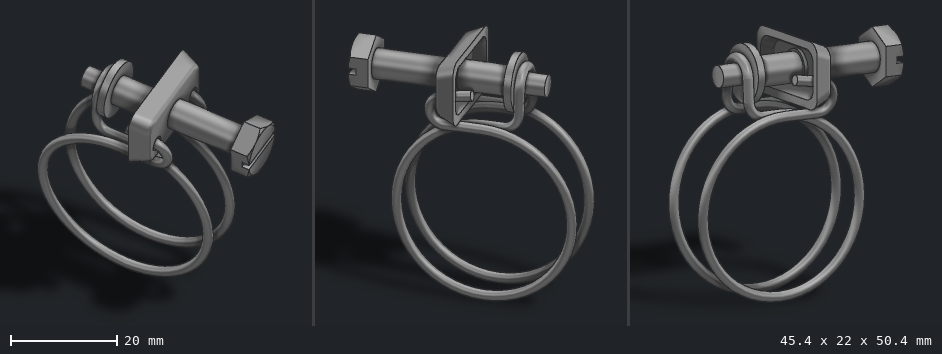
import cadquery as cq
import math


WIRE_DIAMETER = 2.0
RING_OUTER_RADIUS = 18.55
INNER_STRAND_Y = 4.25
OUTER_STRAND_Y = 6.4
LEG_X = -6.65
LEG_BEND_RADIUS = 2.95
LEG_TILT = 4.5
HOOK_START_X = 7.15
HOOK_RADIUS = 3.0
HOOK_TILT = 5.0
TAIL_RISE = 9.0
TAIL_END_X = 1.6

BOLT_AXIS_Z = 25.3
TIP_END_X = -11.15
TIP_DIAMETER = 4.35
COLLAR_DIAMETER = 11.55
COLLAR_THICKNESS = 1.55
SHANK_DIAMETER = 6.0
HEAD_START_X = 22.85
HEAD_HEIGHT = 4.0
HEAD_ACROSS_FLATS = 10.15
HEAD_CHAMFER_ANGLE = 30.0
SLOT_WIDTH = 1.2
SLOT_DEPTH = 1.55

PLATE_BACK_X = 4.15
PLATE_THICKNESS = 3.95
PLATE_WIDTH = 22.0
PLATE_HEIGHT = 13.1
PLATE_CORNER_RADIUS = 2.5
PLATE_SIDE_DRAFT = 15.6
PLATE_TOP_DRAFT = 20.0
PLATE_EDGE_RADIUS = 1.0
POCKET_WIDTH = 19.1
POCKET_HEIGHT = 9.75
POCKET_DEPTH = 2.5
POCKET_CORNER_RADIUS = 2.5
POCKET_FLOOR_RADIUS = 0.6
BOSS_DIAMETER = 7.0
BOSS_HEIGHT = 0.75
WIRE_HOLE_DIAMETER = 2.9
WIRE_HOLE_Y = 7.0
WIRE_HOLE_DROP = 1.55

WIRE_RADIUS = WIRE_DIAMETER / 2
RING_RADIUS = RING_OUTER_RADIUS - WIRE_RADIUS
COLLAR_START_X = LEG_X + WIRE_RADIUS
LOOP_TOP_Z = BOLT_AXIS_Z + TIP_DIAMETER / 2 + WIRE_RADIUS


def leaning_point(x, base_y, rise, lean):
    """Point reached by rising from the ring top in a plane leaning outwards by the given degrees."""
    angle = math.radians(lean)
    return cq.Vector(x, base_y + rise * math.sin(angle), RING_RADIUS + rise * math.cos(angle))


def loop_edges():
    """Half of the loop over the bolt tip, its leg, and the bend down onto the ring top."""
    tilt = math.radians(LEG_TILT)
    sin_t = math.sin(tilt)
    cos_t = math.cos(tilt)
    drop = LOOP_TOP_Z - RING_RADIUS
    radius = (INNER_STRAND_Y * cos_t - drop * sin_t) / (1 - sin_t)
    centre_z = LOOP_TOP_Z - radius

    def loop_point(angle):
        return cq.Vector(LEG_X, radius * math.cos(angle), centre_z + radius * math.sin(angle))

    top = loop_point(math.pi / 2)
    shoulder = loop_point((math.pi / 2 + tilt) / 2)
    leg_top = loop_point(tilt)

    bend_inset = LEG_BEND_RADIUS * (1 - math.sqrt(0.5))
    bend_end_x = LEG_X + LEG_BEND_RADIUS
    leg_bottom = leaning_point(LEG_X, INNER_STRAND_Y, LEG_BEND_RADIUS, -LEG_TILT)
    bend_middle = leaning_point(LEG_X + bend_inset, INNER_STRAND_Y, bend_inset, -LEG_TILT)
    bend_end = leaning_point(bend_end_x, INNER_STRAND_Y, 0, -LEG_TILT)
    ring_start = cq.Vector(0, INNER_STRAND_Y, RING_RADIUS)
    return [
        cq.Edge.makeThreePointArc(top, shoulder, leg_top),
        cq.Edge.makeLine(leg_top, leg_bottom),
        cq.Edge.makeThreePointArc(leg_bottom, bend_middle, bend_end),
        cq.Edge.makeLine(bend_end, ring_start),
    ]


def ring_edges():
    """One turn: an upright half on +X, then a half on -X slanting out to the outer strand."""
    middle_y = (INNER_STRAND_Y + OUTER_STRAND_Y) / 2
    slant_radius = math.hypot(RING_RADIUS, OUTER_STRAND_Y - middle_y)
    ring_top = cq.Vector(0, INNER_STRAND_Y, RING_RADIUS)
    right_side = cq.Vector(RING_RADIUS, INNER_STRAND_Y, 0)
    ring_bottom = cq.Vector(0, INNER_STRAND_Y, -RING_RADIUS)
    left_side = cq.Vector(-slant_radius, middle_y, 0)
    outer_top = cq.Vector(0, OUTER_STRAND_Y, RING_RADIUS)
    return [
        cq.Edge.makeThreePointArc(ring_top, right_side, ring_bottom),
        cq.Edge.makeThreePointArc(ring_bottom, left_side, outer_top),
    ]


def hook_edges():
    """Straight run over the ring top, hook, and the tail that returns through the plate."""
    rise = math.radians(TAIL_RISE)
    tail_start_x = HOOK_START_X + HOOK_RADIUS * math.sin(rise)
    tail_start_rise = HOOK_RADIUS * (1 + math.cos(rise))
    tail_end_rise = tail_start_rise + (tail_start_x - TAIL_END_X) * math.tan(rise)

    def hook_point(x, height):
        return leaning_point(x, OUTER_STRAND_Y, height, HOOK_TILT)

    ring_end = hook_point(0, 0)
    hook_start = hook_point(HOOK_START_X, 0)
    hook_middle = hook_point(HOOK_START_X + HOOK_RADIUS, HOOK_RADIUS)
    tail_start = hook_point(tail_start_x, tail_start_rise)
    tail_end = hook_point(TAIL_END_X, tail_end_rise)
    return [
        cq.Edge.makeLine(ring_end, hook_start),
        cq.Edge.makeThreePointArc(hook_start, hook_middle, tail_start),
        cq.Edge.makeLine(tail_start, tail_end),
    ]


def make_wire_clamp():
    """Double wire clamp: one round wire, symmetric about the bolt's XZ plane."""
    half_path = loop_edges() + ring_edges() + hook_edges()
    path = cq.Wire.assembleEdges(half_path)
    section_plane = cq.Plane(origin=(LEG_X, 0, LOOP_TOP_Z), xDir=(1, 0, 0), normal=(0, 1, 0))
    half = cq.Workplane(section_plane).circle(WIRE_RADIUS).sweep(cq.Workplane(path))
    return half.union(half.mirror("XZ"))


def cross_plane(x):
    """Sketch plane across the bolt axis: local x is +Y, local y is +Z, extrusion is +X."""
    return cq.Workplane(cq.Plane(origin=(x, 0, BOLT_AXIS_Z), xDir=(0, 1, 0), normal=(1, 0, 0)))


def rod(start_x, end_x, diameter):
    """Cylinder on the bolt axis between two X positions."""
    return cross_plane(start_x).circle(diameter / 2).extrude(end_x - start_x)


def make_head():
    """Hexagon head with corners up and down, chamfered end face and a screwdriver slot."""
    head_end_x = HEAD_START_X + HEAD_HEIGHT
    across_corners = HEAD_ACROSS_FLATS / math.cos(math.radians(30))
    hexagon = cross_plane(HEAD_START_X).transformed(rotate=(0, 0, 90))
    hexagon = hexagon.polygon(6, across_corners).extrude(HEAD_HEIGHT)

    flat_radius = HEAD_ACROSS_FLATS / 2
    base_radius = flat_radius + HEAD_HEIGHT / math.tan(math.radians(HEAD_CHAMFER_ANGLE))
    head_start = cq.Vector(HEAD_START_X, 0, BOLT_AXIS_Z)
    cone = cq.Solid.makeCone(base_radius, flat_radius, HEAD_HEIGHT, head_start, cq.Vector(1, 0, 0))
    head = hexagon.intersect(cq.Workplane(cone))

    slot = cross_plane(head_end_x - SLOT_DEPTH).rect(2 * across_corners, SLOT_WIDTH).extrude(SLOT_DEPTH)
    return head.cut(slot)


def make_bolt():
    """Bolt with a stepped tip, a collar behind the wire loop, and a slotted hexagon head."""
    tip = rod(TIP_END_X, COLLAR_START_X, TIP_DIAMETER)
    collar = rod(COLLAR_START_X, COLLAR_START_X + COLLAR_THICKNESS, COLLAR_DIAMETER)
    shank = rod(COLLAR_START_X + COLLAR_THICKNESS, HEAD_START_X, SHANK_DIAMETER)
    return tip.union(collar).union(shank).union(make_head())


def drafted_block(width, height, corner_radius, depth):
    """Block with rounded corners that narrows along +X at the plate's two draft angles."""
    end_width = width - 2 * depth * math.tan(math.radians(PLATE_SIDE_DRAFT))
    end_height = height - 2 * depth * math.tan(math.radians(PLATE_TOP_DRAFT))
    start = cq.Sketch().rect(width, height).vertices().fillet(corner_radius)
    end = cq.Sketch().rect(end_width, end_height).vertices().fillet(corner_radius)
    end = end.moved(cq.Location(cq.Vector(0, 0, depth)))
    return cross_plane(PLATE_BACK_X).placeSketch(start, end).loft()


def make_bridge_plate():
    """Dished plate with a rimmed shank hole and two holes for the wire hooks."""
    plate = drafted_block(PLATE_WIDTH, PLATE_HEIGHT, PLATE_CORNER_RADIUS, PLATE_THICKNESS)
    plate = plate.faces(">X").edges().fillet(PLATE_EDGE_RADIUS)

    pocket = drafted_block(POCKET_WIDTH, POCKET_HEIGHT, POCKET_CORNER_RADIUS, POCKET_DEPTH)
    pocket = pocket.faces(">X").edges().fillet(POCKET_FLOOR_RADIUS)
    plate = plate.cut(pocket)

    floor_x = PLATE_BACK_X + POCKET_DEPTH
    plate = plate.union(rod(floor_x - BOSS_HEIGHT, floor_x, BOSS_DIAMETER))
    plate = plate.cut(rod(PLATE_BACK_X, PLATE_BACK_X + PLATE_THICKNESS, SHANK_DIAMETER))

    hole_centres = [(side * WIRE_HOLE_Y, -WIRE_HOLE_DROP) for side in (-1, 1)]
    wire_holes = cross_plane(PLATE_BACK_X).pushPoints(hole_centres).circle(WIRE_HOLE_DIAMETER / 2)
    return plate.cut(wire_holes.extrude(PLATE_THICKNESS))


wire_clamp = make_wire_clamp().solids()
bolt = make_bolt().solids()
bridge_plate = make_bridge_plate().solids()

result = cq.Compound.makeCompound([wire_clamp.val(), bolt.val(), bridge_plate.val()])